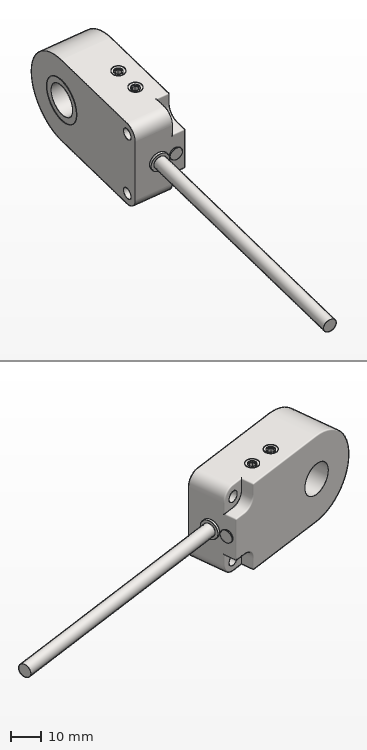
import cadquery as cq
import math

overall_length = 160.6
body_height = 35.3
body_depth = 20.0
body_length = 60.7
corner_radius = 4.8
edge_round = 0.5

nose_radius = body_height / 2
left_x = -nose_radius
right_x = left_x + body_length
front_y = -body_depth / 2
back_y = body_depth / 2

bore_diameter = 12.5
bushing_diameter = 17.5
bushing_recess = 0.2

mount_hole_diameter = 4.3
mount_inset = 4.7
mount_x = right_x - mount_inset
mount_z = nose_radius - mount_inset
notch_radius = 4.5
notch_depth = 5.0

screw_positions_x = (15.0, 24.9)
screw_y = back_y - 7.5
screw_diameter = 5.0
screw_recess = 0.2
socket_rim_diameter = 3.2
socket_rim_depth = 0.5
socket_across_flats = 2.1
socket_depth = 2.4
socket_turn = 30

cable_y = -0.6
cable_diameter = 5.1
collar_diameter = 7.4
collar_length = 1.0
lens_diameter = 5.0
lens_height = 0.5
lens_back_margin = 1.5
lens_y = back_y - lens_back_margin - lens_diameter / 2


def front_plane(y):
    """Sketch plane facing -Y at the given depth, with local axes X and Z."""
    return cq.Workplane("XZ", origin=(0, y, 0))


def rod_from_right_face(diameter, length, y):
    """Round bar along +X standing on the right end face."""
    return cq.Workplane("YZ", origin=(right_x, y, 0)).circle(diameter / 2).extrude(length)


def make_plate(depth):
    """Plate standing on the front face, with a full round nose and rounded right corners."""
    return (
        front_plane(front_y + depth)
        .moveTo(right_x, nose_radius)
        .lineTo(0, nose_radius)
        .threePointArc((left_x, 0), (0, -nose_radius))
        .lineTo(right_x, -nose_radius)
        .close()
        .extrude(depth)
        .edges("|Y and >X")
        .fillet(corner_radius)
    )


def make_body():
    """Notched full-depth core joined to the plate that forms the floors of the notches."""
    core = make_plate(body_depth)
    for side in (1, -1):
        core = core.cut(make_notch(side))
        mouth_edges = (
            (mount_x - notch_radius, 0, side * nose_radius),
            (right_x, 0, side * (mount_z - notch_radius)),
        )
        for mouth_edge in mouth_edges:
            core = core.edges(cq.selectors.NearestToPointSelector(mouth_edge)).fillet(edge_round)
    floor_plate = make_plate(body_depth - notch_depth)
    return round_back(core).union(round_back(floor_plate))


def round_back(plate):
    """Round the edges around the back face."""
    return plate.faces(">Y").edges().fillet(edge_round)


def make_notch(side):
    """Screw head clearance through one corner of the core, rounded about the mounting hole."""
    clear_x = right_x + notch_radius
    clear_z = nose_radius + notch_radius
    arc_reach = notch_radius * math.sqrt(0.5)
    return (
        front_plane(back_y)
        .moveTo(mount_x - notch_radius, side * clear_z)
        .lineTo(mount_x - notch_radius, side * mount_z)
        .threePointArc(
            (mount_x - arc_reach, side * (mount_z - arc_reach)),
            (mount_x, side * (mount_z - notch_radius)),
        )
        .lineTo(clear_x, side * (mount_z - notch_radius))
        .lineTo(clear_x, side * clear_z)
        .close()
        .extrude(body_depth)
    )


def make_front_holes():
    """Bore, bushing recess and mounting holes."""
    holes = front_plane(back_y).circle(bore_diameter / 2).extrude(body_depth)
    bushing = front_plane(front_y + bushing_recess).circle(bushing_diameter / 2).extrude(bushing_recess)
    mounts = (
        front_plane(back_y)
        .pushPoints([(mount_x, mount_z), (mount_x, -mount_z)])
        .circle(mount_hole_diameter / 2)
        .extrude(body_depth)
    )
    return holes.union(bushing).union(mounts)


def make_screw_cut(x):
    """Shallow round recess over a screw, with a stepped rim and a hexagon socket in its end."""
    screw_end_z = nose_radius - screw_recess
    screw_end = cq.Workplane("XY", origin=(x, screw_y, screw_end_z))
    recess = screw_end.circle(screw_diameter / 2).extrude(screw_recess)
    rim = screw_end.circle(socket_rim_diameter / 2).extrude(-socket_rim_depth)
    across_corners = socket_across_flats / math.cos(math.pi / 6)
    socket = (
        screw_end
        .transformed(rotate=(0, 0, socket_turn))
        .polygon(6, across_corners)
        .extrude(-socket_depth)
    )
    return recess.union(rim).union(socket)


result = make_body().cut(make_front_holes())
for screw_x in screw_positions_x:
    result = result.cut(make_screw_cut(screw_x))

cable_length = overall_length - body_length
result = (
    result
    .union(rod_from_right_face(collar_diameter, collar_length, cable_y))
    .union(rod_from_right_face(cable_diameter, cable_length, cable_y))
    .union(rod_from_right_face(lens_diameter, lens_height, lens_y))
)